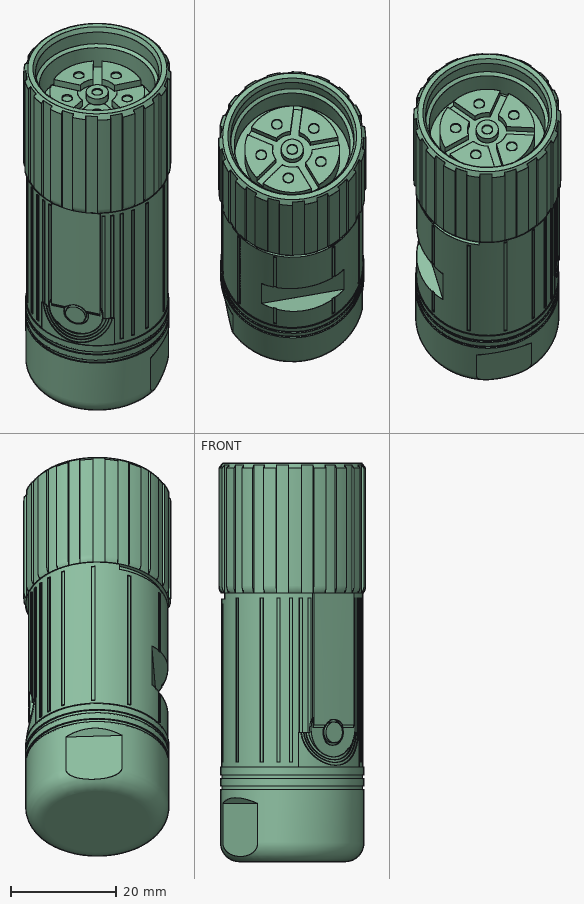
import cadquery as cq
import math

TOTAL_HEIGHT = 75.59
KEY_ANGLE = 308.0
WINDOW_ANGLE = KEY_ANGLE - 180.0
WRENCH_ANGLE = KEY_ANGLE - 90.0

CAP_RADIUS = 27.2 / 2
CAP_TOP = 13.7
CAP_FILLET = 3.6
WRENCH_DISTANCE = 12.5
WRENCH_TOP = 11.05
RING_GROOVE_RADIUS = 13.35
LOWER_RING_BOTTOM = 14.4
LOWER_RING_TOP = 15.75
UPPER_RING_BOTTOM = 16.5
UPPER_RING_TOP = 18.0

BODY_RADIUS = 13.4
GRIP_OFFSETS = (23.7, 31.0, 39.0, 49.3, 63.8, 89.6, 119.9, 155.0)
GRIP_WIDTH = 0.6
GRIP_DEPTH = 0.15
GRIP_BOTTOM = 18.9
GRIP_TOP = 50.05
SHORT_GRIP_TOP = 48.9
RELIEF_HALF_ANGLE = 68.7
RELIEF_RADIUS = 12.75
RELIEF_BOTTOM = 49.85

WINDOW_DISTANCE = 10.76
WINDOW_BOTTOM = 26.0
WINDOW_TOP = 34.96
WINDOW_FLARE = 0.75

PAD_DISTANCE = 12.95
PAD_HALF_WIDTH = 4.85
PAD_CROWN_RADIUS = 115.0
PAD_BOTTOM = 25.9
PAD_LIP = 0.4
SHIELD_HALF_ANGLE = 32.8
SHIELD_RADIUS = 13.5
SHIELD_TOP = 24.5
DIAL_CENTRE_HEIGHT = 25.2
DIAL_RADIUS = 5.3
DIAL_DISTANCE = 12.6
DIAL_RIMS = ((6.9, 13.3), (6.35, 13.1), (5.85, 12.9))
BUTTON_HEIGHT = 24.55
BUTTON_DIAMETER = 4.0
BUTTON_GAP = 0.45
BUTTON_GAP_DEPTH = 0.65

NUT_RADIUS = 27.9 / 2
NUT_VALLEY_RADIUS = 13.5
NUT_TOP_RADIUS = 13.2
NUT_BOTTOM = 51.0
NUT_TOP_CHAMFER = 0.95
NUT_BOTTOM_ROUND = 1.3
RIB_COUNT = 18
RIB_PITCH = 360.0 / RIB_COUNT
RIB_ANGLE = 10.4
TURN = 2.2

SOCKET_RADIUS = 23.4 / 2
SOCKET_INNER_RADIUS = 22.0 / 2
SOCKET_LEAD_IN = 0.5
SOCKET_LEAD_IN_DEPTH = 0.9
SOCKET_STEP_DEPTH = 3.8
SOCKET_TAPER = 0.4
SOCKET_DEPTH = 10.0

INSERT_RADIUS = 9.0
INSERT_TOP_DEPTH = 5.8
INSERT_CHANNEL_DEPTH = 1.5
CHANNEL_WIDTH = 1.65
HUB_CLEARANCE_RADIUS = 3.75
HUB_DIAMETER = 4.2
CONTACT_COUNT = 5
CONTACT_PITCH = 360.0 / CONTACT_COUNT
CONTACT_CIRCLE_RADIUS = 6.0
CONTACT_DIAMETER = 2.0
CONTACT_DEPTH = 0.3

CLEAR = 20.0


def cylinder(radius, bottom, top):
    return cq.Workplane("XY").workplane(offset=bottom).circle(radius).extrude(top - bottom)


def tube(outer, inner, bottom, top):
    return cylinder(outer, bottom, top).cut(cylinder(inner, bottom, top))


def turned(shape, angle):
    """Rotate a shape built toward +X so that it faces the given angle."""
    return shape.rotate((0, 0, 0), (0, 0, 1), angle)


def radial_box(inner, outer, width, bottom, top):
    centre = ((inner + outer) / 2, 0, (bottom + top) / 2)
    return cq.Workplane("XY").box(outer - inner, width, top - bottom).translate(centre)


def radial_cylinder(radius, height, inner, outer):
    return cq.Workplane("YZ", origin=(inner, 0, height)).circle(radius).extrude(outer - inner)


def sector(inner, outer, half_angle, bottom, top):
    """Ring sector centred on +X."""
    a = math.radians(half_angle)
    c = math.cos(a)
    s = math.sin(a)
    return (
        cq.Workplane("XY").workplane(offset=bottom)
        .moveTo(inner * c, -inner * s)
        .lineTo(outer * c, -outer * s)
        .threePointArc((outer, 0), (outer * c, outer * s))
        .lineTo(inner * c, inner * s)
        .threePointArc((inner, 0), (inner * c, -inner * s))
        .close()
        .extrude(top - bottom)
    )


def make_cap():
    cap = cylinder(CAP_RADIUS, 0, CAP_TOP).faces("<Z").edges().fillet(CAP_FILLET)
    run_out = CLEAR - WRENCH_DISTANCE
    flat = (
        cq.Workplane("XZ")
        .moveTo(WRENCH_DISTANCE, 0)
        .lineTo(CLEAR, 0)
        .lineTo(CLEAR, WRENCH_TOP + run_out)
        .lineTo(WRENCH_DISTANCE, WRENCH_TOP)
        .close()
        .extrude(CLEAR, both=True)
    )
    for angle in (WRENCH_ANGLE, WRENCH_ANGLE + 180):
        cap = cap.cut(turned(flat, angle))
    core = cylinder(RING_GROOVE_RADIUS, CAP_TOP, UPPER_RING_TOP)
    lower_ring = cylinder(CAP_RADIUS, LOWER_RING_BOTTOM, LOWER_RING_TOP)
    upper_ring = cylinder(CAP_RADIUS, UPPER_RING_BOTTOM, UPPER_RING_TOP)
    return cap.union(core).union(lower_ring).union(upper_ring)


def cut_grip_lines(body):
    for offset in GRIP_OFFSETS:
        below_relief = 180 - offset < RELIEF_HALF_ANGLE
        top = SHORT_GRIP_TOP if below_relief else GRIP_TOP
        line = radial_box(BODY_RADIUS - GRIP_DEPTH, CLEAR, GRIP_WIDTH, GRIP_BOTTOM, top)
        for side in (-1, 1):
            body = body.cut(turned(line, KEY_ANGLE + side * offset))
    return body


def cut_window(body):
    slope = WINDOW_FLARE / (BODY_RADIUS - WINDOW_DISTANCE)
    flare = slope * (CLEAR - WINDOW_DISTANCE)
    window = (
        cq.Workplane("XZ")
        .moveTo(WINDOW_DISTANCE, WINDOW_BOTTOM)
        .lineTo(CLEAR, WINDOW_BOTTOM - flare)
        .lineTo(CLEAR, WINDOW_TOP + flare)
        .lineTo(WINDOW_DISTANCE, WINDOW_TOP)
        .close()
        .extrude(CLEAR, both=True)
    )
    return body.cut(turned(window, WINDOW_ANGLE))


def add_lock_pad(body):
    half = PAD_HALF_WIDTH
    shield = sector(DIAL_DISTANCE, SHIELD_RADIUS, SHIELD_HALF_ANGLE, UPPER_RING_TOP, SHIELD_TOP)
    body = body.union(turned(shield, KEY_ANGLE))

    for rim_radius, floor_radius in DIAL_RIMS:
        disc = radial_cylinder(rim_radius, DIAL_CENTRE_HEIGHT, 0, CLEAR)
        rim = disc.intersect(tube(CLEAR, floor_radius, UPPER_RING_TOP, SHIELD_TOP))
        body = body.cut(turned(rim, KEY_ANGLE))
    dial_space = radial_cylinder(DIAL_RADIUS, DIAL_CENTRE_HEIGHT, DIAL_DISTANCE, CLEAR)
    dial = radial_cylinder(DIAL_RADIUS, DIAL_CENTRE_HEIGHT, 0, DIAL_DISTANCE)
    body = body.cut(turned(dial_space, KEY_ANGLE)).union(turned(dial, KEY_ANGLE))

    crown_drop = PAD_CROWN_RADIUS - math.sqrt(PAD_CROWN_RADIUS**2 - half**2)
    pad_space = radial_box(PAD_DISTANCE - crown_drop, CLEAR, 2 * half, PAD_BOTTOM, NUT_BOTTOM)
    pad = (
        cq.Workplane("XY").workplane(offset=PAD_BOTTOM)
        .moveTo(0, -half)
        .lineTo(PAD_DISTANCE - crown_drop, -half)
        .threePointArc((PAD_DISTANCE, 0), (PAD_DISTANCE - crown_drop, half))
        .lineTo(0, half)
        .close()
        .extrude(NUT_BOTTOM - PAD_BOTTOM)
    )
    body = body.cut(turned(pad_space, KEY_ANGLE)).union(turned(pad, KEY_ANGLE))
    lip_distance = (DIAL_DISTANCE + PAD_DISTANCE - crown_drop) / 2
    lip = radial_box(0, lip_distance, 2 * half, PAD_BOTTOM - PAD_LIP, PAD_BOTTOM)
    body = body.union(turned(lip, KEY_ANGLE))

    button_radius = BUTTON_DIAMETER / 2
    gap_floor = PAD_DISTANCE - BUTTON_GAP_DEPTH
    gap = radial_cylinder(button_radius + BUTTON_GAP, BUTTON_HEIGHT, gap_floor, CLEAR)
    button = radial_cylinder(button_radius, BUTTON_HEIGHT, 0, PAD_DISTANCE)
    return body.cut(turned(gap, KEY_ANGLE)).union(turned(button, KEY_ANGLE))


def make_body():
    body = cylinder(BODY_RADIUS, UPPER_RING_TOP, NUT_BOTTOM)
    relief = sector(RELIEF_RADIUS, CLEAR, RELIEF_HALF_ANGLE, RELIEF_BOTTOM, NUT_BOTTOM)
    body = body.cut(turned(relief, WINDOW_ANGLE))
    body = cut_grip_lines(body)
    body = cut_window(body)
    return add_lock_pad(body)


def make_nut():
    nut = (
        cq.Workplane("XZ")
        .moveTo(0, NUT_BOTTOM)
        .lineTo(0, TOTAL_HEIGHT)
        .lineTo(NUT_TOP_RADIUS, TOTAL_HEIGHT)
        .lineTo(NUT_RADIUS, TOTAL_HEIGHT - NUT_TOP_CHAMFER)
        .lineTo(NUT_RADIUS, NUT_BOTTOM + NUT_BOTTOM_ROUND)
        .tangentArcPoint((NUT_VALLEY_RADIUS, NUT_BOTTOM), relative=False)
        .close()
        .revolve(360, (0, 0, 0), (0, 1, 0))
    )
    valley_half_angle = (RIB_PITCH - RIB_ANGLE) / 2
    valley = sector(NUT_VALLEY_RADIUS, CLEAR, valley_half_angle, NUT_BOTTOM, TOTAL_HEIGHT)
    for i in range(RIB_COUNT):
        nut = nut.cut(turned(valley, TURN + i * RIB_PITCH))
    return nut


def cut_socket(part):
    step = TOTAL_HEIGHT - SOCKET_STEP_DEPTH
    insert_top = TOTAL_HEIGHT - INSERT_TOP_DEPTH
    socket = (
        cq.Workplane("XZ")
        .moveTo(0, TOTAL_HEIGHT)
        .lineTo(SOCKET_RADIUS + SOCKET_LEAD_IN, TOTAL_HEIGHT)
        .lineTo(SOCKET_RADIUS, TOTAL_HEIGHT - SOCKET_LEAD_IN_DEPTH)
        .lineTo(SOCKET_RADIUS, step)
        .lineTo(SOCKET_INNER_RADIUS, step - SOCKET_TAPER)
        .lineTo(SOCKET_INNER_RADIUS, TOTAL_HEIGHT - SOCKET_DEPTH)
        .lineTo(INSERT_RADIUS, TOTAL_HEIGHT - SOCKET_DEPTH)
        .lineTo(INSERT_RADIUS, insert_top)
        .lineTo(0, insert_top)
        .close()
        .revolve(360, (0, 0, 0), (0, 1, 0))
    )
    return part.cut(socket)


def cut_contacts(part):
    top = TOTAL_HEIGHT - INSERT_TOP_DEPTH
    channel_floor = top - INSERT_CHANNEL_DEPTH
    hole = cylinder(CONTACT_DIAMETER / 2, top - CONTACT_DEPTH, top)
    channel = radial_box(HUB_DIAMETER / 2, INSERT_RADIUS, CHANNEL_WIDTH, channel_floor, top)
    part = part.cut(hole)
    part = part.cut(tube(HUB_CLEARANCE_RADIUS, HUB_DIAMETER / 2, channel_floor, top))
    contact = hole.translate((CONTACT_CIRCLE_RADIUS, 0, 0))
    for i in range(CONTACT_COUNT):
        channel_angle = TURN + i * CONTACT_PITCH
        part = part.cut(turned(channel, channel_angle))
        part = part.cut(turned(contact, channel_angle + CONTACT_PITCH / 2))
    return part


result = make_cap().union(make_body()).union(make_nut())
result = cut_contacts(cut_socket(result))